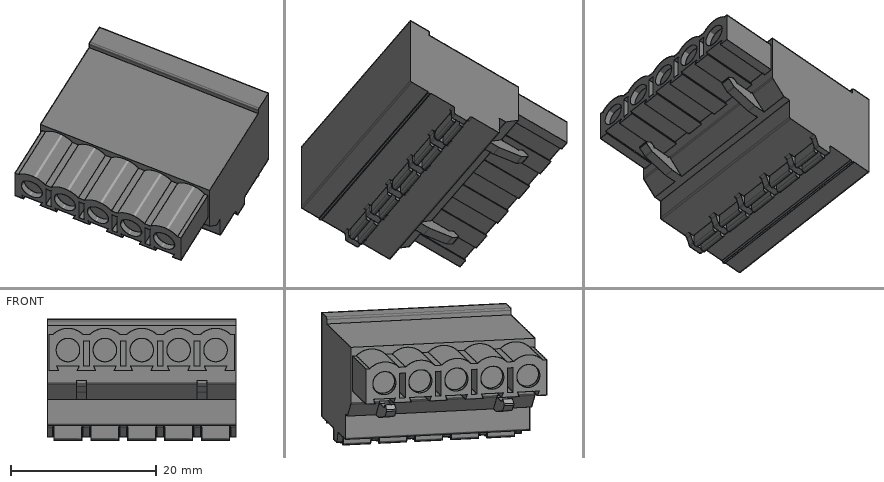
import cadquery as cq

POLES = 5
PITCH = 5.08
WIDTH = 26.01
LENGTH = 26.6
HEIGHT = 16.7

BASE_Z = 2.05
ROOF_Z = 15.8
RIDGE_Y = 23.4
RIDGE_ROUND = 0.27
FACE_Y = 8.35
FACE_BOTTOM_Z = 7.82
LEDGE_Z = 5.6
LEDGE_FRONT_Y = 10.53
BASE_FRONT_Y = 11.6
FACE_ROUND = 0.37
BASE_ROUND = 0.2

PLUG_WIDTH = 25.54
PLUG_BOTTOM_Z = 9.6
SHOULDER_Z = 14.58
LOBE_TOP_Z = 15.43
LOBE_HALF_WIDTH = 2.07
HOLE_Z = 12.45
HOLE_DIAMETER = 3.25
HOLE_DEPTH = 0.88
SLOT_WIDTH = 0.8
SLOT_TOP_Z = 13.73
GROOVE_TOP_Z = 10.25
GROOVE_TOP_WIDTH = 3.09
GROOVE_MOUTH_WIDTH = 2.55

LATCH_X = 8.3
LATCH_WIDTH = 1.35
LATCH_TOP_Z = 7.75
LATCH_BARB_Y = 4.8
LATCH_BARB_Z = 8.3
LATCH_BARB_ROUND = 0.13
LATCH_BARB_ROOT_Y = 5.48
LATCH_TIP_Y = 3.88
LATCH_TIP_TOP_Z = 7.8
LATCH_TIP_BOTTOM_Z = 7.53
LATCH_CHIN_Y = 4.92
LATCH_CHIN_Z = 6.6
LATCH_CHIN_ROUND = 0.27
LATCH_BEND_Y = 8.8
LATCH_ROOT_CHAMFER = 0.27

FOOT_REAR_Y = 19.2
FOOT_FRONT_Y = 17.05
FOOT_TOP_FRONT_Y = 16.45
FOOT_BOTTOM_Z = 0.45
FOOT_WIDTH = 0.95
FOOT_REAR_TAPER = 0.05
FOOT_TIP_ROUND = 0.19
FOOT_REAR_ROOT_ROUND = 0.27
FOOT_FRONT_ROOT_ROUND = 0.43
FOOT_PAD = 0.8
PRONG_REAR_Y = 19.05
PRONG_LENGTH = 0.66
PRONG_WIDTH = 3.85
PRONG_ROUND = 0.27

RIB_FRONT_Y = 23.15
RIB_REAR_Y = 23.62
RIB_DEPTH = 0.25
RIB_CHAMFER = 0.19

pole_xs = [(i - (POLES - 1) / 2) * PITCH for i in range(POLES)]
gap_xs = [x + PITCH / 2 for x in pole_xs[:-1]]
foot_xs = [pole_xs[0] - PITCH / 2] + [x + PITCH / 2 for x in pole_xs]


def prism_along_x(points, center_x, width):
    """Extrude a closed (y, z) outline symmetrically about center_x."""
    start = center_x - width / 2
    return cq.Workplane("YZ").workplane(offset=start).polyline(points).close().extrude(width)


def box(x_range, y_range, z_range):
    """Box spanning the given (low, high) ranges."""
    size = [high - low for low, high in (x_range, y_range, z_range)]
    corner = (x_range[0], y_range[0], z_range[0])
    return cq.Workplane("XY").box(*size, centered=False).translate(corner)


def centered_range(center, width):
    return (center - width / 2, center + width / 2)


def round_edge(body, midpoint, radius):
    """Fillet the one edge whose middle lies at the given point."""
    return body.edges(cq.NearestToPointSelector(midpoint)).fillet(radius)


def make_housing():
    outline = [
        (LENGTH, BASE_Z),
        (LENGTH, HEIGHT),
        (RIDGE_Y, HEIGHT),
        (RIDGE_Y, ROOF_Z),
        (FACE_Y, ROOF_Z),
        (FACE_Y, FACE_BOTTOM_Z),
        (LEDGE_FRONT_Y, LEDGE_Z),
        (BASE_FRONT_Y, LEDGE_Z),
        (BASE_FRONT_Y, BASE_Z),
    ]
    housing = prism_along_x(outline, 0, WIDTH)
    rounds = [
        (RIDGE_Y, HEIGHT, RIDGE_ROUND),
        (FACE_Y, FACE_BOTTOM_Z, FACE_ROUND),
        (BASE_FRONT_Y, BASE_Z, BASE_ROUND),
        (LENGTH, BASE_Z, BASE_ROUND),
    ]
    for y, z, radius in rounds:
        housing = round_edge(housing, (0, y, z), radius)
    return housing


def make_plug():
    half_width = PLUG_WIDTH / 2
    outline = cq.Workplane("XZ").moveTo(-half_width, PLUG_BOTTOM_Z).lineTo(-half_width, SHOULDER_Z)
    for x in pole_xs:
        outline = outline.lineTo(x - LOBE_HALF_WIDTH, SHOULDER_Z)
        outline = outline.threePointArc((x, LOBE_TOP_Z), (x + LOBE_HALF_WIDTH, SHOULDER_Z))
    outline = outline.lineTo(half_width, SHOULDER_Z).lineTo(half_width, PLUG_BOTTOM_Z).close()
    plug = outline.extrude(-FACE_Y)

    for x in pole_xs:
        groove = [
            (x - GROOVE_MOUTH_WIDTH / 2, PLUG_BOTTOM_Z),
            (x - GROOVE_TOP_WIDTH / 2, GROOVE_TOP_Z),
            (x + GROOVE_TOP_WIDTH / 2, GROOVE_TOP_Z),
            (x + GROOVE_MOUTH_WIDTH / 2, PLUG_BOTTOM_Z),
        ]
        plug = plug.cut(cq.Workplane("XZ").polyline(groove).close().extrude(-FACE_Y))
        hole = cq.Workplane("XZ").center(x, HOLE_Z).circle(HOLE_DIAMETER / 2).extrude(-HOLE_DEPTH)
        plug = plug.cut(hole)

    for x in gap_xs:
        slot = box(centered_range(x, SLOT_WIDTH), (0, FACE_Y), (GROOVE_TOP_Z, SLOT_TOP_Z))
        plug = plug.cut(slot)
    return plug


def make_latch(center_x):
    outline = [
        (LEDGE_FRONT_Y, LEDGE_Z),
        (LEDGE_FRONT_Y, LATCH_TOP_Z + LATCH_ROOT_CHAMFER),
        (FACE_Y, LATCH_TOP_Z + LATCH_ROOT_CHAMFER),
        (FACE_Y - LATCH_ROOT_CHAMFER, LATCH_TOP_Z),
        (LATCH_BARB_ROOT_Y, LATCH_TOP_Z),
        (LATCH_BARB_Y, LATCH_BARB_Z),
        (LATCH_TIP_Y, LATCH_TIP_TOP_Z),
        (LATCH_TIP_Y, LATCH_TIP_BOTTOM_Z),
        (LATCH_CHIN_Y, LATCH_CHIN_Z),
        (LATCH_BEND_Y, LEDGE_Z),
    ]
    latch = prism_along_x(outline, center_x, LATCH_WIDTH)
    latch = round_edge(latch, (center_x, LATCH_BARB_Y, LATCH_BARB_Z), LATCH_BARB_ROUND)
    return round_edge(latch, (center_x, LATCH_CHIN_Y, LATCH_CHIN_Z), LATCH_CHIN_ROUND)


def make_foot(center_x):
    """Tapered foot, trimmed flush with the housing sides at the ends of the row."""
    low = max(center_x - FOOT_WIDTH / 2, -WIDTH / 2)
    high = min(center_x + FOOT_WIDTH / 2, WIDTH / 2)
    middle = (low + high) / 2
    outline = [
        (FOOT_REAR_Y + FOOT_PAD, BASE_Z + FOOT_PAD),
        (FOOT_REAR_Y + FOOT_PAD, BASE_Z),
        (FOOT_REAR_Y, BASE_Z),
        (FOOT_REAR_Y - FOOT_REAR_TAPER, FOOT_BOTTOM_Z),
        (FOOT_FRONT_Y, FOOT_BOTTOM_Z),
        (FOOT_TOP_FRONT_Y, BASE_Z),
        (FOOT_TOP_FRONT_Y - FOOT_PAD, BASE_Z),
        (FOOT_TOP_FRONT_Y - FOOT_PAD, BASE_Z + FOOT_PAD),
    ]
    foot = prism_along_x(outline, middle, high - low)
    foot = foot.faces("<Z").edges("|X").fillet(FOOT_TIP_ROUND)
    foot = round_edge(foot, (middle, FOOT_REAR_Y, BASE_Z), FOOT_REAR_ROOT_ROUND)
    return round_edge(foot, (middle, FOOT_TOP_FRONT_Y, BASE_Z), FOOT_FRONT_ROOT_ROUND)


def make_prong(center_x, y_range):
    prong = box(centered_range(center_x, PRONG_WIDTH), y_range, (0, BASE_Z))
    return prong.faces("<Z").edges("|X").fillet(PRONG_ROUND)


def make_rib():
    outline = [
        (RIB_REAR_Y, BASE_Z),
        (RIB_REAR_Y, BASE_Z - RIB_DEPTH),
        (RIB_FRONT_Y + RIB_CHAMFER, BASE_Z - RIB_DEPTH),
        (RIB_FRONT_Y, BASE_Z),
    ]
    return prism_along_x(outline, 0, WIDTH)


result = make_housing().union(make_plug()).union(make_rib())

for side in (-1, 1):
    result = result.union(make_latch(side * LATCH_X))

for x in foot_xs:
    result = result.union(make_foot(x))

for x in pole_xs:
    result = result.union(make_prong(x, (FOOT_FRONT_Y, FOOT_FRONT_Y + PRONG_LENGTH)))
    result = result.union(make_prong(x, (PRONG_REAR_Y - PRONG_LENGTH, PRONG_REAR_Y)))